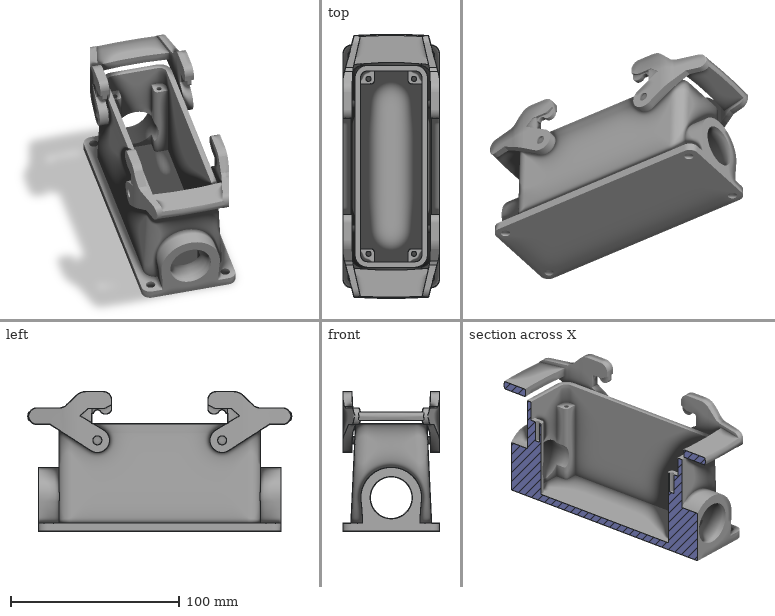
import cadquery as cq
import math

FLANGE_LENGTH = 144.3
FLANGE_WIDTH = 57.5
FLANGE_THICKNESS = 4.9
FLANGE_CORNER_RADIUS = 5.3
SCREW_X = 23.0
SCREW_Y = 66.0
SCREW_HOLE_DIAMETER = 5.5

HOUSING_TOP = 63.9
RIM_BOTTOM = 58.1
HOUSING_HALF_LENGTH = 60.0
HALF_WIDTH_AT_BASE = 24.0
HALF_WIDTH_AT_RIM = 21.5
HOUSING_CORNER_RADIUS = 7.4
WALL = 3.3
FLOOR = FLANGE_THICKNESS

POST_TOP = 51.8
POST_X = 13.5
POST_Y = 52.0
POST_INNER_X = 10.0
POST_INNER_Y = 49.0
POST_CORNER_RADIUS = 2.0
POST_HOLE_DIAMETER = 3.0
POST_HOLE_DEPTH = 12.5

ENTRY_Z = 20.0
ENTRY_RADIUS = 18.0
ENTRY_HOLE_RADIUS = 12.4
ENTRY_SHOULDER_Z = 17.0
ENTRY_FOOT_HALF_WIDTH = 17.1
ENTRY_NECK_Z = 11.0
ENTRY_NECK_HALF_WIDTH = 17.3

LEVER_OUTER_X = FLANGE_WIDTH / 2
LEVER_THICKNESS = 5.5
LEVER_INNER_X = LEVER_OUTER_X - LEVER_THICKNESS
LEVER_TOP = 83.0
PIVOT_Y = 37.0
PIVOT_Z = 54.0
PIVOT_RADIUS = 7.2
LINK_ANGLE = 32.0
PIN_DIAMETER = 4.5
PIN_ROOT_X = 20.4
PIN_OVERLAP = 1.5
PIN_RECESS_DIAMETER = 5.3
PIN_RECESS_DEPTH = 1.3

BEND_START_Y = 49.3
BEND_MIDDLE = (28.3, 54.3)
BEND_END_Y = 58.0
BEND_OUTER_X = 27.3
BEND_INNER_X = 22.8
LEVER_END_Y = 77.9
LEVER_END_OUTER_X = 22.1
LEVER_END_INNER_X = 18.2
HANDLE_TOP = 73.3
HANDLE_BOTTOM = 63.5
HANDLE_EDGE_RADIUS = (HANDLE_TOP - HANDLE_BOTTOM) / 2
HANDLE_CORNER_RADIUS = 1.0
HANDLE_TOP_START_Y = 58.7
HANDLE_BOTTOM_START_Y = 65.2

HOOK_SLOPE_START = (56.2, 74.3)
HOOK_SLOPE_END = (49.1, 81.2)
HOOK_BACK_CURVE = (46.5, 82.6)
HOOK_TOP_BACK_Y = 42.9
HOOK_TOP_FRONT_Y = 33.5
HOOK_FRONT_CURVE = (30.1, 81.6)
HOOK_TIP_Y = 28.5
HOOK_TIP_TOP_Z = 78.7
TOOTH_TIP_Z = 72.2
TOOTH_BOTTOM = (31.9, 69.5)
TOOTH_BACK = (35.0, 70.8)
LATCH_GROOVE_TOP = (37.2, 72.0)
LATCH_GROOVE_END_Y = 39.2
LATCH_GROOVE_END_Z = 70.0
NOTCH_WALL_Y = 40.3
NOTCH_FLOOR_Z = 64.4
NOTCH_RECESS_DEPTH = 0.5
NOTCH_RECESS_BACK_Y = 42.5
NOTCH_RECESS_CORNER = (47.4, 68.6)
TOOTH_RELIEF = 1.4
HOOK_STEP_Y = 33.0
HOOK_STEP_Z = 72.8
HOOK_STEP_TIP_Z = 75.2

BAR_TOP = 71.0
BAR_BOTTOM = 65.8
BAR_INNER_END_Y = 60.5
BAR_INNER_MIDDLE_Y = 61.7
BAR_NOSE_START_Y = 77.7
BAR_OUTER_Y = 78.5
BAR_BOW_RADIUS = 314.0
BAR_INNER_HALF_WIDTH = 23.2
BAR_OUTER_HALF_WIDTH = 19.2


def make_flange():
    screw_points = [(sx * SCREW_X, sy * SCREW_Y) for sx in (-1, 1) for sy in (-1, 1)]
    return (
        cq.Workplane("XY")
        .rect(FLANGE_WIDTH, FLANGE_LENGTH)
        .extrude(FLANGE_THICKNESS)
        .edges("|Z")
        .fillet(FLANGE_CORNER_RADIUS)
        .faces(">Z")
        .workplane(origin=(0, 0, 0))
        .pushPoints(screw_points)
        .hole(SCREW_HOLE_DIAMETER)
    )


def make_housing():
    """Filled housing shape with drafted long sides."""
    base = HALF_WIDTH_AT_BASE
    rim = HALF_WIDTH_AT_RIM
    section = [
        (-base, FLOOR),
        (base, FLOOR),
        (rim, RIM_BOTTOM),
        (rim, HOUSING_TOP),
        (-rim, HOUSING_TOP),
        (-rim, RIM_BOTTOM),
    ]
    return (
        cq.Workplane("XZ")
        .polyline(section)
        .close()
        .extrude(HOUSING_HALF_LENGTH, both=True)
        .edges("(not |Y) and (not |X)")
        .fillet(HOUSING_CORNER_RADIUS)
    )


def make_cavity():
    """Straight-walled space inside the housing, open at the top."""
    return (
        cq.Workplane("XY", origin=(0, 0, FLOOR))
        .rect(2 * (HALF_WIDTH_AT_RIM - WALL), 2 * (HOUSING_HALF_LENGTH - WALL))
        .extrude(HOUSING_TOP - FLOOR)
        .edges("|Z")
        .fillet(HOUSING_CORNER_RADIUS - WALL)
    )


def make_cable_entries():
    """Round-topped bosses along the whole length, later cleared inside the housing."""
    shoulder = math.sqrt(ENTRY_RADIUS**2 - (ENTRY_Z - ENTRY_SHOULDER_Z) ** 2)
    return (
        cq.Workplane("XZ")
        .moveTo(-ENTRY_FOOT_HALF_WIDTH, 0)
        .lineTo(ENTRY_FOOT_HALF_WIDTH, 0)
        .lineTo(ENTRY_FOOT_HALF_WIDTH, FLANGE_THICKNESS)
        .threePointArc((ENTRY_NECK_HALF_WIDTH, ENTRY_NECK_Z), (shoulder, ENTRY_SHOULDER_Z))
        .threePointArc((0, ENTRY_Z + ENTRY_RADIUS), (-shoulder, ENTRY_SHOULDER_Z))
        .threePointArc((-ENTRY_NECK_HALF_WIDTH, ENTRY_NECK_Z), (-ENTRY_FOOT_HALF_WIDTH, FLANGE_THICKNESS))
        .lineTo(-ENTRY_FOOT_HALF_WIDTH, 0)
        .close()
        .extrude(FLANGE_LENGTH / 2, both=True)
    )


def make_entry_bore():
    return (
        cq.Workplane("XZ")
        .center(0, ENTRY_Z)
        .circle(ENTRY_HOLE_RADIUS)
        .extrude(FLANGE_LENGTH / 2, both=True)
    )


def make_posts(envelope):
    """Four corner posts, trimmed to the housing envelope."""
    size_x = HALF_WIDTH_AT_BASE - POST_INNER_X
    size_y = HOUSING_HALF_LENGTH - POST_INNER_Y
    post = (
        cq.Workplane("XY", origin=(POST_INNER_X, POST_INNER_Y, FLOOR))
        .rect(size_x, size_y, centered=False)
        .extrude(POST_TOP - FLOOR)
        .edges("|Z and <X and <Y")
        .fillet(POST_CORNER_RADIUS)
    )
    hole = (
        cq.Workplane("XY", origin=(POST_X, POST_Y, POST_TOP))
        .circle(POST_HOLE_DIAMETER / 2)
        .extrude(-POST_HOLE_DEPTH)
    )
    post = post.intersect(envelope).cut(hole)
    pair = post.union(post.mirror("YZ"))
    return pair.union(pair.mirror("XZ"))


def arm_plan():
    """Arm outline in X and Y: straight plate that bends inwards towards the handle."""
    return (
        cq.Workplane("XY")
        .moveTo(LEVER_INNER_X, 0)
        .lineTo(LEVER_OUTER_X, 0)
        .lineTo(LEVER_OUTER_X, BEND_START_Y)
        .threePointArc(BEND_MIDDLE, (BEND_OUTER_X, BEND_END_Y))
        .lineTo(LEVER_END_OUTER_X, LEVER_END_Y)
        .lineTo(LEVER_END_INNER_X, LEVER_END_Y)
        .lineTo(BEND_INNER_X, BEND_END_Y)
        .lineTo(LEVER_INNER_X, BEND_START_Y)
        .close()
        .extrude(LEVER_TOP)
        .faces(">Y")
        .edges("|Z")
        .edges(">X")
        .fillet(HANDLE_CORNER_RADIUS)
    )


def arm_side():
    """Arm outline in Y and Z: handle, hook with latch notch, and link to the pivot."""
    link_angle = math.radians(LINK_ANGLE)
    link_y = PIVOT_RADIUS * math.sin(link_angle)
    link_z = PIVOT_RADIUS * math.cos(link_angle)
    return (
        cq.Workplane("YZ")
        .moveTo(HANDLE_BOTTOM_START_Y, HANDLE_BOTTOM)
        .lineTo(LEVER_END_Y - HANDLE_EDGE_RADIUS, HANDLE_BOTTOM)
        .threePointArc(
            (LEVER_END_Y, (HANDLE_TOP + HANDLE_BOTTOM) / 2),
            (LEVER_END_Y - HANDLE_EDGE_RADIUS, HANDLE_TOP),
        )
        .lineTo(HANDLE_TOP_START_Y, HANDLE_TOP)
        .lineTo(*HOOK_SLOPE_START)
        .lineTo(*HOOK_SLOPE_END)
        .threePointArc(HOOK_BACK_CURVE, (HOOK_TOP_BACK_Y, LEVER_TOP))
        .lineTo(HOOK_TOP_FRONT_Y, LEVER_TOP)
        .threePointArc(HOOK_FRONT_CURVE, (HOOK_TIP_Y, HOOK_TIP_TOP_Z))
        .lineTo(HOOK_TIP_Y, TOOTH_TIP_Z)
        .threePointArc(TOOTH_BOTTOM, TOOTH_BACK)
        .threePointArc(LATCH_GROOVE_TOP, (LATCH_GROOVE_END_Y, LATCH_GROOVE_END_Z))
        .lineTo(NOTCH_WALL_Y, LATCH_GROOVE_END_Z)
        .lineTo(NOTCH_WALL_Y, NOTCH_FLOOR_Z)
        .lineTo(PIVOT_Y - link_y, PIVOT_Z + link_z)
        .threePointArc(
            (PIVOT_Y - PIVOT_RADIUS * math.cos(link_angle), PIVOT_Z - link_y),
            (PIVOT_Y + link_y, PIVOT_Z - link_z),
        )
        .close()
        .extrude(LEVER_OUTER_X)
    )


def notch_recess():
    """Shallow step in the outer face of an arm, around the latch notch."""
    return (
        cq.Workplane("YZ", origin=(LEVER_OUTER_X - NOTCH_RECESS_DEPTH, 0, 0))
        .moveTo(HOOK_TIP_Y, HOOK_STEP_TIP_Z)
        .lineTo(HOOK_STEP_Y, HOOK_STEP_Z)
        .lineTo(NOTCH_RECESS_BACK_Y, HOOK_STEP_Z)
        .lineTo(*NOTCH_RECESS_CORNER)
        .lineTo(NOTCH_WALL_Y, NOTCH_FLOOR_Z)
        .lineTo(HOOK_TIP_Y, NOTCH_FLOOR_Z)
        .close()
        .extrude(NOTCH_RECESS_DEPTH)
    )


def tooth_relief(start_x):
    """Cut that thins one face of the latch tooth under the hook."""
    return (
        cq.Workplane("YZ", origin=(start_x, 0, 0))
        .moveTo(HOOK_TIP_Y, HOOK_STEP_TIP_Z)
        .lineTo(HOOK_STEP_Y, HOOK_STEP_Z)
        .lineTo(NOTCH_WALL_Y, HOOK_STEP_Z)
        .lineTo(NOTCH_WALL_Y, NOTCH_FLOOR_Z)
        .lineTo(HOOK_TIP_Y, NOTCH_FLOOR_Z)
        .close()
        .extrude(TOOTH_RELIEF)
    )


def pivot_cylinder(start_x, end_x, diameter):
    return (
        cq.Workplane("YZ", origin=(start_x, PIVOT_Y, PIVOT_Z))
        .circle(diameter / 2)
        .extrude(end_x - start_x)
    )


def make_arm():
    pin = pivot_cylinder(PIN_ROOT_X, LEVER_INNER_X + PIN_OVERLAP, PIN_DIAMETER)
    pin_recess = pivot_cylinder(LEVER_OUTER_X - PIN_RECESS_DEPTH, LEVER_OUTER_X, PIN_RECESS_DIAMETER)
    return (
        arm_plan()
        .intersect(arm_side())
        .cut(notch_recess())
        .cut(tooth_relief(LEVER_INNER_X))
        .cut(tooth_relief(LEVER_OUTER_X - TOOTH_RELIEF))
        .cut(pin_recess)
        .union(pin)
    )


def make_grip_bar():
    """Flat bar between the arms; its rounded nose bows outwards around a distant vertical axis."""
    plan = (
        cq.Workplane("XY", origin=(0, 0, BAR_BOTTOM))
        .moveTo(-BAR_INNER_HALF_WIDTH, BAR_INNER_END_Y)
        .threePointArc((0, BAR_INNER_MIDDLE_Y), (BAR_INNER_HALF_WIDTH, BAR_INNER_END_Y))
        .lineTo(BAR_OUTER_HALF_WIDTH, BAR_OUTER_Y)
        .lineTo(-BAR_OUTER_HALF_WIDTH, BAR_OUTER_Y)
        .close()
        .extrude(BAR_TOP - BAR_BOTTOM)
    )
    bow_axis_y = BAR_OUTER_Y - BAR_BOW_RADIUS
    bowed_disc = (
        cq.Workplane("YZ")
        .moveTo(bow_axis_y, BAR_BOTTOM)
        .lineTo(BAR_NOSE_START_Y, BAR_BOTTOM)
        .threePointArc(
            (BAR_OUTER_Y, (BAR_TOP + BAR_BOTTOM) / 2),
            (BAR_NOSE_START_Y, BAR_TOP),
        )
        .lineTo(bow_axis_y, BAR_TOP)
        .close()
        .revolve(360, (bow_axis_y, 0), (bow_axis_y, 1))
    )
    return plan.intersect(bowed_disc)


def make_lever():
    arm = make_arm()
    return make_grip_bar().union(arm).union(arm.mirror("YZ"))


housing = make_housing()
cavity = make_cavity()
lever = make_lever()

result = (
    make_flange()
    .union(housing)
    .union(make_cable_entries())
    .cut(cavity)
    .union(make_posts(housing))
    .cut(make_entry_bore())
    .union(lever)
    .union(lever.mirror("XZ"))
)